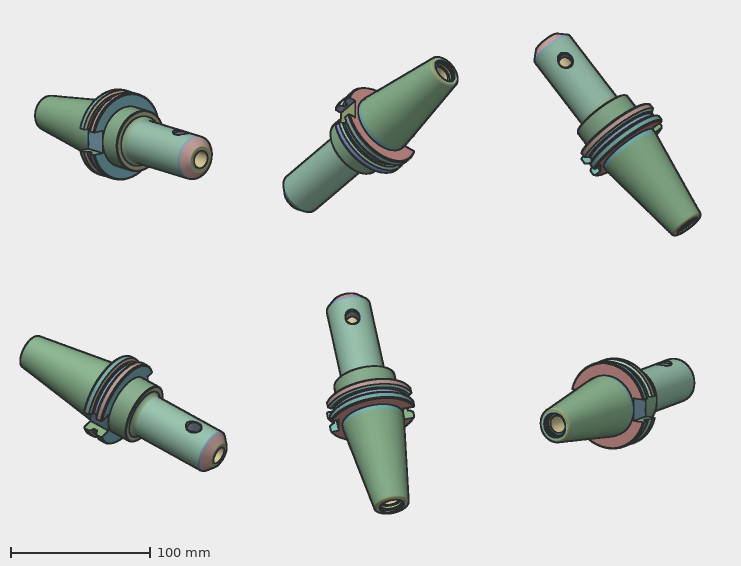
import cadquery as cq
import math

length = 169.8
taper_end = 68.1
flange_start = 71.3
flange_width = 16.1
flange_end = flange_start + flange_width
collar_end = 103.1

tip_radius = 12.5
collar_radius = 44.5 / 2
flange_radius = 63.4 / 2
shank_radius = 31.8 / 2
tip_round = 1.9

rim_chamfer_width = 0.8
rim_chamfer_depth = 0.7
groove_center = flange_start + flange_width / 2
groove_radius = 28.2
groove_floor_half = 1.4
groove_wall_half = 1.9
groove_mouth_half = 3.4
groove_wall_height = 1.5

collar_chamfer = 0.5
root_height = 2.4
root_length = 3.7
nose_length = 6.1
nose_round = 2.2
end_round = 0.8

bore_radius = 12.7 / 2
counterbore_radius = 16.3 / 2
counterbore_depth = 4.6
mouth_radius = 9.0
mouth_depth = 1.5

slot_half_height = 8.3
front_slot_floor = 22.3
back_slot_floor = 24.8

screw_x = 147.5
screw_radius = 10.0 / 2
screw_mouth_radius = 6.1


def on_axis(points):
    """Revolve an outline of (x, radius) points around the X axis."""
    outline = cq.Workplane("XY").polyline(points).close()
    return outline.revolve(360, (0, 0, 0), (1, 0, 0))


def taper():
    cone = on_axis([
        (0, 0),
        (0, tip_radius),
        (taper_end, collar_radius),
        (flange_start, collar_radius),
        (flange_start, 0),
    ])
    return cone.faces("<X").edges().fillet(tip_round)


def flange():
    rim_edge = flange_radius - rim_chamfer_depth
    wall_top = groove_radius + groove_wall_height
    return on_axis([
        (flange_start, 0),
        (flange_start, rim_edge),
        (flange_start + rim_chamfer_width, flange_radius),
        (groove_center - groove_mouth_half, flange_radius),
        (groove_center - groove_wall_half, wall_top),
        (groove_center - groove_floor_half, groove_radius),
        (groove_center + groove_floor_half, groove_radius),
        (groove_center + groove_wall_half, wall_top),
        (groove_center + groove_mouth_half, flange_radius),
        (flange_end - rim_chamfer_width, flange_radius),
        (flange_end, rim_edge),
        (flange_end, 0),
    ])


def drive_slot(side, floor):
    depth = flange_radius - floor
    slot = cq.Workplane("XY").box(flange_width, depth, 2 * slot_half_height)
    return slot.translate((groove_center, side * (floor + depth / 2), 0))


def collar():
    body = cq.Workplane("YZ", origin=(flange_end, 0, 0)).circle(collar_radius)
    return body.extrude(collar_end - flange_end).faces(">X").edges().chamfer(collar_chamfer)


def shank_root():
    """Concave flare tangent to the shank and ending on the collar face."""
    arc_radius = (root_length**2 + root_height**2) / (2 * root_height)
    middle_length = root_length / 2
    middle_height = arc_radius - math.sqrt(arc_radius**2 - middle_length**2)
    middle = (collar_end + middle_length, shank_radius + middle_height)
    outline = (
        cq.Workplane("XY")
        .moveTo(collar_end, 0)
        .lineTo(collar_end, shank_radius + root_height)
        .threePointArc(middle, (collar_end + root_length, shank_radius))
        .lineTo(collar_end + root_length, 0)
        .close()
    )
    return outline.revolve(360, (0, 0, 0), (1, 0, 0))


def shank():
    nose_start = length - nose_length
    body = on_axis([
        (collar_end, 0),
        (collar_end, shank_radius),
        (nose_start, shank_radius),
        (length, shank_radius - nose_length),
        (length, 0),
    ])
    body = body.faces(">X").edges().fillet(end_round)
    shoulder = cq.selectors.BoxSelector(
        (nose_start - 0.2, -length, -length), (nose_start + 0.2, length, length)
    )
    return body.edges(shoulder).fillet(nose_round)


def bore():
    return on_axis([
        (0, 0),
        (0, mouth_radius),
        (mouth_depth, mouth_radius),
        (mouth_depth + mouth_radius - counterbore_radius, counterbore_radius),
        (counterbore_depth, counterbore_radius),
        (counterbore_depth, bore_radius),
        (length, bore_radius),
        (length, 0),
    ])


def screw_hole():
    """Hole from the top of the shank into the bore, with a 45 degree countersink."""
    sink_depth = screw_mouth_radius - screw_radius
    outline = cq.Workplane("XZ").polyline([
        (0, 0),
        (screw_radius, 0),
        (screw_radius, shank_radius - sink_depth),
        (screw_mouth_radius, shank_radius),
        (0, shank_radius),
    ]).close()
    return outline.revolve(360, (0, 0, 0), (0, 1, 0)).translate((screw_x, 0, 0))


slotted_flange = (
    flange()
    .cut(drive_slot(-1, front_slot_floor))
    .cut(drive_slot(1, back_slot_floor))
)
body = taper().union(slotted_flange).union(collar()).union(shank()).union(shank_root())
result = body.cut(bore()).cut(screw_hole())